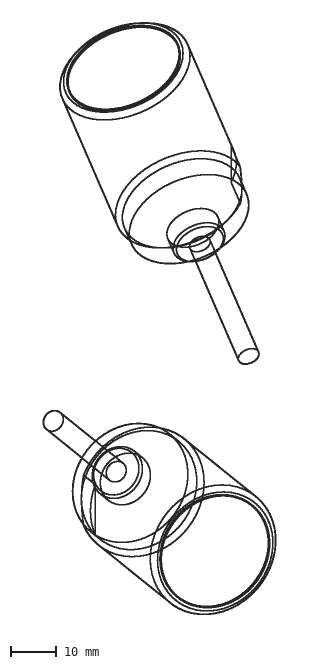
import cadquery as cq

total_length = 90.0
body_diameter = 30.0
body_end = 42.3

shoulder_diameter = 27.5
shoulder_end = 47.25
body_chamfer = (body_diameter - shoulder_diameter) / 2

collar_diameter = 12.0
collar_start = 49.95
collar_end = 55.0
collar_chamfer = 0.585

cable_diameter = 4.8

face_groove_outer_diameter = 26.0
face_groove_inner_diameter = 25.7
face_groove_depth = 0.45

flat_start = 34.5
flat_offset = shoulder_diameter / 2


def cylinder(diameter, start, end):
    return cq.Workplane("YZ", origin=(start, 0, 0)).circle(diameter / 2).extrude(end - start)


def make_body():
    """Plain barrel, chamfered at both ends, with a flat on the +Y side near the rear."""
    body = cylinder(body_diameter, 0, body_end).faces("<X or >X").edges().chamfer(body_chamfer)
    flat_cutter = cq.Workplane("XY").box(
        body_end - flat_start, body_diameter, body_diameter, centered=(False, False, True)
    )
    return body.cut(flat_cutter.translate((flat_start, flat_offset, 0)))


def make_face_groove():
    """Thin ring gap around the sensing face."""
    outer = cylinder(face_groove_outer_diameter, 0, face_groove_depth)
    inner = cylinder(face_groove_inner_diameter, 0, face_groove_depth)
    return outer.cut(inner)


def make_rear_cap():
    """Shoulder that tapers down to the cable collar, with a chamfered collar end."""
    shoulder_radius = shoulder_diameter / 2
    collar_radius = collar_diameter / 2
    profile = [
        (body_end, 0),
        (body_end, shoulder_radius),
        (shoulder_end, shoulder_radius),
        (collar_start, collar_radius),
        (collar_end - collar_chamfer, collar_radius),
        (collar_end, collar_radius - collar_chamfer),
        (collar_end, 0),
    ]
    return cq.Workplane("XY").polyline(profile).close().revolve(360, (0, 0, 0), (1, 0, 0))


cable = cylinder(cable_diameter, collar_end, total_length)
result = make_body().cut(make_face_groove()).union(make_rear_cap()).union(cable)